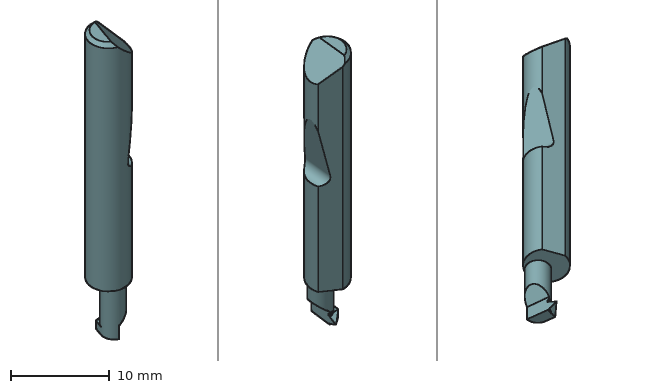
import cadquery as cq
import math

length = 38.1
shank_radius = 2.38
shank_bottom = 6.4
top_chamfer = 0.45
top_land_edge = -0.6

flat_angle = 145.0
flat_distance = 2.02

notch_floor = 21.07
notch_top = 29.87
notch_slope = 9.1
notch_fillet = 1.1

neck_radius = 1.353
neck_x = shank_radius - neck_radius
relief_corner = 1.8

tooth_left = -0.17
tooth_top = 1.2
tip_x = -1.24
tip_z = 0.6
end_rise_back = 0.1
end_rise_side = 0.08

bevel_left = -0.4
bevel_right = -0.08
bevel_top = 1.6
bevel_bottom = 1.3

margin = 0.4


def solid_from_faces(polygons):
    """Close a set of flat polygons into one solid."""
    faces = [cq.Face.makeFromWires(cq.Wire.makePolygon([cq.Vector(*p) for p in polygon], close=True))
             for polygon in polygons]
    return cq.Workplane(cq.Solid.makeSolid(cq.Shell.makeShell(faces)))


def across_x(points):
    """Extrude a YZ outline through the full width of the shank."""
    return cq.Workplane("YZ").polyline(points).close().extrude(shank_radius + margin, both=True)


def make_shank():
    shank = cq.Workplane("XY").workplane(offset=shank_bottom).circle(shank_radius)
    shank = shank.extrude(length - shank_bottom).faces(">Z").chamfer(top_chamfer)

    flat_cutter = (
        cq.Workplane("XY")
        .box(shank_radius, 2 * shank_radius, length, centered=(False, True, False))
        .translate((flat_distance, 0, 0))
        .rotate((0, 0, 0), (0, 0, 1), flat_angle)
    )

    outer_y = shank_radius + margin
    bevel_cutter = across_x([
        (top_land_edge - margin, length + margin),
        (outer_y, length + top_land_edge - outer_y),
        (outer_y, length + margin),
    ])

    slope = math.tan(math.radians(notch_slope))
    notch_depth = (notch_top - notch_floor) * slope
    notch_cutter = across_x([
        (shank_radius - notch_depth, notch_floor),
        (outer_y, notch_floor),
        (outer_y, notch_top + margin / slope),
    ]).edges("|X and <Y").fillet(notch_fillet)

    return shank.cut(flat_cutter).cut(bevel_cutter).cut(notch_cutter)


def make_neck():
    neck = cq.Workplane("XY").center(neck_x, 0).circle(neck_radius).extrude(shank_bottom)
    outer_y = neck_radius + margin
    half_cutter = across_x([
        (0, -margin),
        (outer_y, -margin),
        (outer_y, relief_corner + outer_y),
        (0, relief_corner),
    ])
    bevel_cutter = (
        cq.Workplane("XZ")
        .polyline([
            (bevel_left, bevel_top),
            (bevel_right, bevel_bottom),
            (bevel_right, tooth_top),
            (bevel_left, tooth_top),
        ])
        .close()
        .extrude(neck_radius)
    )
    return neck.cut(half_cutter).cut(bevel_cutter)


def make_tooth():
    block = cq.Workplane("XY").box(
        neck_x - tooth_left, neck_radius, tooth_top, centered=False
    ).translate((tooth_left, -neck_radius, 0))

    tip = (tip_x, 0, tip_z)
    base = [
        (tooth_left, 0, 0),
        (tooth_left, -neck_radius, end_rise_back),
        (tooth_left, -neck_radius, tooth_top),
        (tooth_left, 0, tooth_top),
    ]
    sides = [[base[i - 1], base[i], tip] for i in range(len(base))]
    return block.union(solid_from_faces([base] + sides))


def make_end_cutter():
    """Wedge under the sloping end face of the neck and tooth block."""
    end_plane = cq.Plane(
        origin=(tooth_left, 0, 0),
        xDir=(shank_radius - tooth_left, 0, end_rise_side),
        normal=(-end_rise_side / (shank_radius - tooth_left), end_rise_back / neck_radius, 1),
    )
    size = 2 * shank_radius
    half_space = cq.Workplane(end_plane).rect(2 * size, 2 * size).extrude(-margin)
    right_of_tip = cq.Workplane("XY").box(size, size, size, centered=(False, True, True))
    return half_space.intersect(right_of_tip.translate((tooth_left, 0, 0)))


end = make_neck().union(make_tooth()).cut(make_end_cutter())
result = make_shank().union(end)